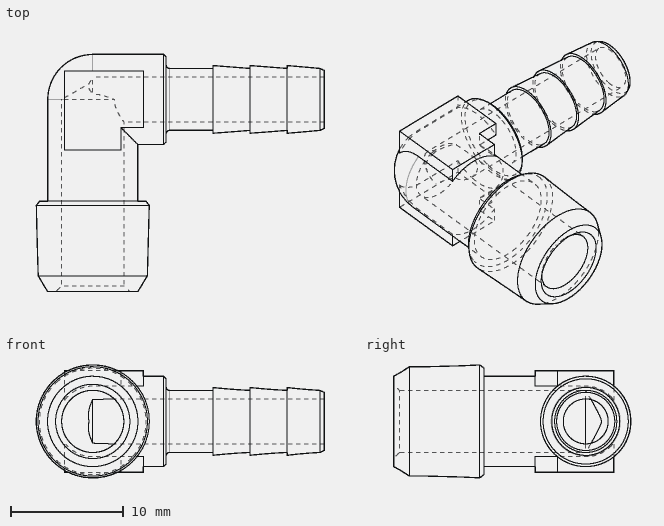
import cadquery as cq
import math

overall_length = 25.5
body_radius = 4.0

plug_diameter = 10.02
plug_radius = plug_diameter / 2
plug_start = 9.0
plug_rim_length = 0.38
plug_rim_radius = 4.72
plug_taper_end = 15.6
plug_taper_radius = 4.85
plug_end = 17.0

collar_end = 6.5
collar_chamfer = 0.23
root_fillet = 0.3
stem_radius = 2.75
hose_end = overall_length - plug_radius
barb_count = 3
barb_pitch = 3.3
barb_radius = 3.0
barb_start = hose_end - barb_count * barb_pitch
tip_chamfer_length = 0.38
tip_chamfer_depth = 0.18

pad_height = 9.0
pad_back = 2.5
pad_front = 4.5

drill_tip_angle = 120
drill_tip_slope = 1 / math.tan(math.radians(drill_tip_angle / 2))
plug_bore_radius = 2.75
plug_mouth_radius = 3.3
plug_mouth_depth = 0.5
hose_bore_radius = 2.0


def make_threaded_arm():
    """Neck and tapered plug, revolved about Y."""
    profile = (
        cq.Workplane("XY")
        .moveTo(0, 0)
        .lineTo(body_radius, 0)
        .lineTo(body_radius, -plug_start)
        .lineTo(plug_rim_radius, -plug_start)
        .lineTo(plug_radius, -plug_start - plug_rim_length)
        .lineTo(plug_taper_radius, -plug_taper_end)
        .lineTo(body_radius, -plug_end)
        .lineTo(0, -plug_end)
        .close()
    )
    return profile.revolve(360, (0, 0, 0), (0, 1, 0))


def make_hose_arm():
    """Collar, stem and barbs, revolved about X."""
    profile = (
        cq.Workplane("XY")
        .moveTo(0, 0)
        .lineTo(0, body_radius)
        .lineTo(collar_end - collar_chamfer, body_radius)
        .lineTo(collar_end, body_radius - collar_chamfer)
        .lineTo(collar_end, stem_radius + root_fillet)
        .radiusArc((collar_end + root_fillet, stem_radius), -root_fillet)
    )
    for index in range(barb_count):
        start = barb_start + index * barb_pitch
        profile = profile.lineTo(start, stem_radius).lineTo(start, barb_radius)
    profile = (
        profile.lineTo(hose_end - tip_chamfer_length, stem_radius)
        .lineTo(hose_end, stem_radius - tip_chamfer_depth)
        .lineTo(hose_end, 0)
        .close()
    )
    return profile.revolve(360, (0, 0, 0), (1, 0, 0))


def make_pads():
    """L-shaped block following the two arms."""
    outline = [
        (-pad_back, pad_back),
        (pad_front, pad_back),
        (pad_front, -pad_back),
        (pad_back, -pad_back),
        (pad_back, -pad_front),
        (-pad_back, -pad_front),
    ]
    return cq.Workplane("XY").polyline(outline).close().extrude(pad_height / 2, both=True)


def make_passages():
    """Drilled plug bore with a flared mouth, meeting the drilled hose bore at the elbow."""
    plug_bore = (
        cq.Workplane("XY")
        .moveTo(0, plug_bore_radius * drill_tip_slope)
        .lineTo(plug_bore_radius, 0)
        .lineTo(plug_bore_radius, plug_mouth_depth - plug_end)
        .lineTo(plug_mouth_radius, -plug_end)
        .lineTo(0, -plug_end)
        .close()
        .revolve(360, (0, 0, 0), (0, 1, 0))
    )
    hose_bore = (
        cq.Workplane("XY")
        .moveTo(-hose_bore_radius * drill_tip_slope, 0)
        .lineTo(0, hose_bore_radius)
        .lineTo(hose_end, hose_bore_radius)
        .lineTo(hose_end, 0)
        .close()
        .revolve(360, (0, 0, 0), (1, 0, 0))
    )
    return plug_bore.union(hose_bore)


elbow = cq.Workplane("XY").sphere(body_radius)
body = elbow.union(make_threaded_arm()).union(make_hose_arm()).union(make_pads())
result = body.cut(make_passages())